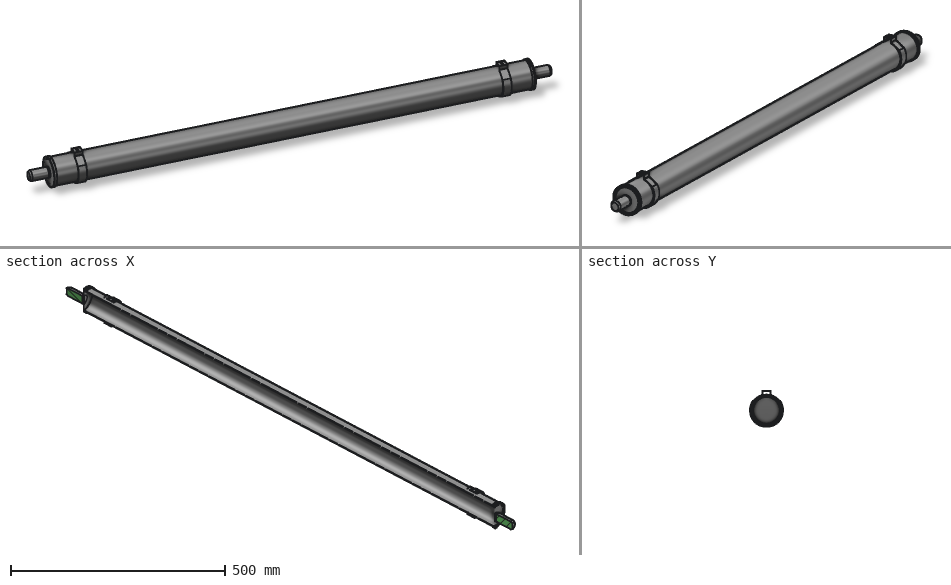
import cadquery as cq
import math

overall_length = 1303.6
overall_width = 77.66
overall_height = 84.57
half_length = overall_length / 2

cap_radius = 37.0
cap_thickness = 8.0
cap_floor = 2.5
cap_face = 602.0
cap_inner_edge = cap_face - cap_thickness

sleeve_radius = 35.0
sleeve_thickness = 1.0
pipe_radius = sleeve_radius - sleeve_thickness
pipe_wall = 3.0
pipe_end = cap_face - cap_floor

collar_radius = 27.13 / 2
collar_length = 3.9
stub_base = cap_face + collar_length
stub_radius = 26.8 / 2
stub_tip_radius = 20.0 / 2
stub_taper_length = 5.0

band_radius = overall_width / 2
band_width = 20.8
clamp_position = 530.5
flat_distance = 35.75
flat_angle = math.radians(56)
ear_width = 20.0
ear_top = overall_height - band_radius
ear_wall = 1.0
ear_slot_width = 4.0


def cylinder(radius, start, end):
    """A cylinder on the Y axis between two Y positions."""
    return cq.Workplane("XZ", origin=(0, start, 0)).circle(radius).extrude(start - end)


def make_tube(outer_radius, inner_radius):
    """A tube that reaches from one cap floor to the other."""
    outer = cylinder(outer_radius, -pipe_end, pipe_end)
    return outer.cut(cylinder(inner_radius, -pipe_end, pipe_end))


def make_cap():
    disc = cylinder(cap_radius, cap_inner_edge, cap_face)
    return disc.cut(cylinder(sleeve_radius, cap_inner_edge, pipe_end))


def make_collar():
    return cylinder(collar_radius, cap_face, stub_base)


def make_stub():
    shoulder = half_length - stub_taper_length
    profile = [
        (0, stub_base),
        (stub_radius, stub_base),
        (stub_radius, shoulder),
        (stub_tip_radius, half_length),
        (0, half_length),
    ]
    return cq.Workplane("XY").polyline(profile).close().revolve(360, (0, 0, 0), (0, 1, 0))


def make_clamp():
    """Band, flats and ear drawn as one outline, then bored, hollowed and slotted."""
    flat_start_angle = flat_angle - math.acos(flat_distance / band_radius)
    flat_start_x = band_radius * math.cos(flat_start_angle)
    flat_start_z = band_radius * math.sin(flat_start_angle)
    ear_side = ear_width / 2
    ear_base = (flat_distance - ear_side * math.cos(flat_angle)) / math.sin(flat_angle)

    near_side = clamp_position - band_width / 2
    far_side = clamp_position + band_width / 2
    body = (
        cq.Workplane("XZ", origin=(0, far_side, 0))
        .moveTo(flat_start_x, flat_start_z)
        .lineTo(ear_side, ear_base)
        .lineTo(ear_side, ear_top)
        .lineTo(-ear_side, ear_top)
        .lineTo(-ear_side, ear_base)
        .lineTo(-flat_start_x, flat_start_z)
        .threePointArc((0, -band_radius), (flat_start_x, flat_start_z))
        .close()
        .extrude(band_width)
    )
    bore = cylinder(sleeve_radius, near_side, far_side)

    inner_width = ear_width - 2 * ear_wall
    at_clamp = cq.Workplane("XY", origin=(0, clamp_position, 0))
    hollow = at_clamp.rect(inner_width, band_width).extrude(ear_top - ear_wall)
    slot = at_clamp.rect(inner_width, ear_slot_width).extrude(ear_top)
    return body.cut(bore).cut(hollow).cut(slot)


pipe = make_tube(pipe_radius, pipe_radius - pipe_wall)
sleeve = make_tube(sleeve_radius, pipe_radius)

solids = [pipe.val(), sleeve.val()]
for make_fitting in (make_cap, make_collar, make_stub, make_clamp):
    fitting = make_fitting()
    solids.append(fitting.val())
    solids.append(fitting.mirror("XZ").val())

result = cq.Compound.makeCompound(solids)